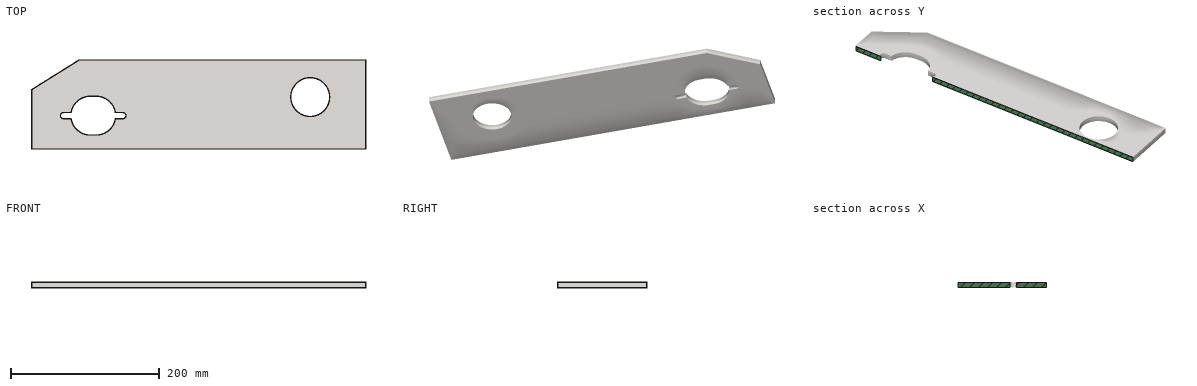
import cadquery as cq

plate_length = 450.0
plate_width = 120.0
plate_thickness = 8.0

corner_cut_length = 64.0
corner_cut_width = 40.0

opening_diameter = 52.0

round_hole_x = plate_length - 75.0
round_hole_y = 70.0

oblong_x = 83.0
oblong_y = 45.0
oblong_stretch = 8.0
oblong_length = opening_diameter + oblong_stretch
narrow_slot_length = 88.0
narrow_slot_width = 8.0


def make_plate():
    """Rectangular plate with one corner cut off."""
    outline = [
        (0, 0),
        (plate_length, 0),
        (plate_length, plate_width),
        (corner_cut_length, plate_width),
        (0, plate_width - corner_cut_width),
    ]
    return cq.Workplane("XY").polyline(outline).close().extrude(plate_thickness)


def make_round_hole():
    """Through cutter for the round hole."""
    return (
        cq.Workplane("XY")
        .center(round_hole_x, round_hole_y)
        .circle(opening_diameter / 2)
        .extrude(plate_thickness)
    )


def make_oblong_cutter(length, width):
    """Through cutter with round ends, centred on the oblong opening."""
    return (
        cq.Workplane("XY")
        .center(oblong_x, oblong_y)
        .slot2D(length, width)
        .extrude(plate_thickness)
    )


result = (
    make_plate()
    .cut(make_round_hole())
    .cut(make_oblong_cutter(oblong_length, opening_diameter))
    .cut(make_oblong_cutter(narrow_slot_length, narrow_slot_width))
)